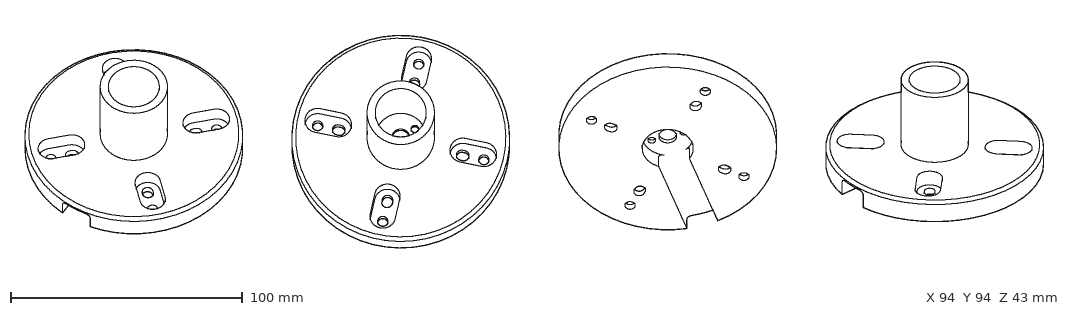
import cadquery as cq

flange_diameter = 94.0
flange_height = 10.0
chamfer_width = 1.7
chamfer_height = 1.2

total_height = 43.0
tube_outer_diameter = 29.0
tube_bore_diameter = 22.0

center_hole_diameter = 7.7
side_hole_diameter = 3.3
side_hole_offset = 7.2

pocket_width = 11.0
pocket_depth = 7.0
pocket_inner_radius = 27.4
pocket_outer_radius = 36.7
pocket_angles = (45, 135, 225, 315)
screw_hole_diameter = 4.4
screw_slot_length = 5.5
screw_slot_width = 4.6

recess_diameter = tube_bore_diameter
recess_height = 8.0

channel_width = 14.0
channel_height = recess_height
channel_fillet = 2.0


def make_flange():
    disc = cq.Workplane("XY").circle(flange_diameter / 2).extrude(flange_height)
    return disc.faces(">Z").chamfer(chamfer_height, chamfer_width)


def make_tube():
    """Solid post, bored down to the top of the flange."""
    post = cq.Workplane("XY").circle(tube_outer_diameter / 2).extrude(total_height)
    bore = (
        cq.Workplane("XY", origin=(0, 0, flange_height))
        .circle(tube_bore_diameter / 2)
        .extrude(total_height - flange_height)
    )
    return post.cut(bore)


def make_floor_holes():
    return (
        cq.Workplane("XY")
        .circle(center_hole_diameter / 2)
        .pushPoints([(-side_hole_offset, 0), (side_hole_offset, 0)])
        .circle(side_hole_diameter / 2)
        .extrude(flange_height)
    )


def make_screw_pocket(angle):
    """Cutter for one pocket and its two floor openings, turned to its angle."""
    center_spacing = pocket_outer_radius - pocket_inner_radius
    pocket = (
        cq.Workplane("XY", origin=(0, 0, flange_height))
        .center((pocket_inner_radius + pocket_outer_radius) / 2, 0)
        .slot2D(center_spacing + pocket_width, pocket_width)
        .extrude(-pocket_depth)
    )
    outer_hole = (
        cq.Workplane("XY")
        .center(pocket_outer_radius, 0)
        .circle(screw_hole_diameter / 2)
        .extrude(flange_height)
    )
    inner_slot = (
        cq.Workplane("XY")
        .center(pocket_inner_radius, 0)
        .slot2D(screw_slot_length, screw_slot_width)
        .extrude(flange_height)
    )
    cutter = pocket.union(outer_hole).union(inner_slot)
    return cutter.rotate((0, 0, 0), (0, 0, 1), angle)


def make_recess():
    return cq.Workplane("XY").circle(recess_diameter / 2).extrude(recess_height)


def make_cable_channel():
    """Channel cutter with rounded upper edges, running from the axis to the -Y rim."""
    channel_length = flange_diameter / 2
    return (
        cq.Workplane("XY")
        .center(0, -channel_length / 2)
        .rect(channel_width, channel_length)
        .extrude(channel_height)
        .faces(">Z")
        .edges("|Y")
        .fillet(channel_fillet)
    )


result = make_flange().union(make_tube()).cut(make_floor_holes())
for pocket_angle in pocket_angles:
    result = result.cut(make_screw_pocket(pocket_angle))
result = result.cut(make_recess()).cut(make_cable_channel())